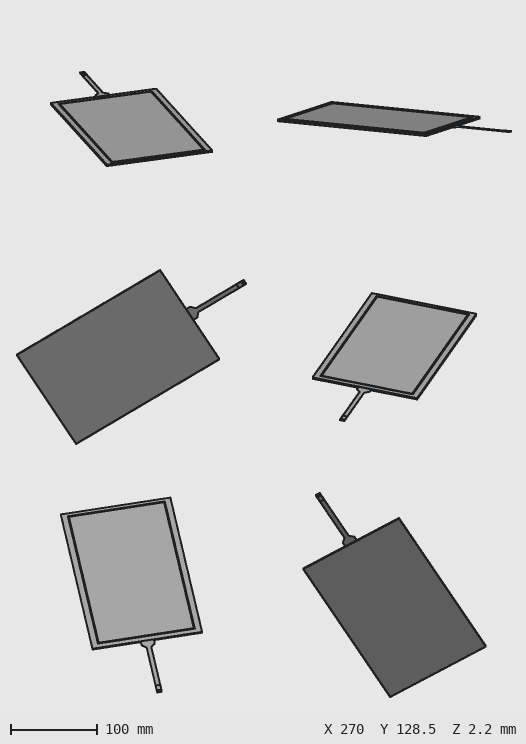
import cadquery as cq

total_length = 270.0
plate_length = 195.0
plate_width = 128.5
plate_thickness = 2.2
plate_left = total_length - plate_length

groove_margin_left = 5.7
groove_margin_right = 4.0
groove_margin_y = 7.3
groove_width = 1.3
groove_depth = 0.13

cable_width = 5.7
cable_thickness = 0.3
cable_bottom = 1.48
cable_overlap = 1.3
cable_center_y = plate_width / 2
root_width = 15.7
root_length = 5.7
flare_length = 4.3

stiffener_length = 10.0
stiffener_thickness = 0.3

contact_count = 5
contact_length = 3.5
contact_width = 0.5
contact_pitch = 1.0
contact_thickness = 0.1


def make_plate():
    return cq.Workplane("XY").box(plate_length, plate_width, plate_thickness, centered=False).translate(
        (plate_left, 0, 0)
    )


def make_groove():
    outer_length = plate_length - groove_margin_left - groove_margin_right
    outer_width = plate_width - 2 * groove_margin_y
    inner_length = outer_length - 2 * groove_width
    inner_width = outer_width - 2 * groove_width
    center_x = plate_left + groove_margin_left + outer_length / 2
    return (
        cq.Workplane("XY", origin=(center_x, plate_width / 2, plate_thickness - groove_depth))
        .rect(outer_length, outer_width)
        .rect(inner_length, inner_width)
        .extrude(groove_depth)
    )


def make_cable():
    root_start = plate_left - root_length
    flare_start = root_start - flare_length
    upper_edge = [
        (0, cable_width / 2),
        (flare_start, cable_width / 2),
        (root_start, root_width / 2),
        (plate_left + cable_overlap, root_width / 2),
    ]
    lower_edge = [(x, -y) for x, y in reversed(upper_edge)]
    return (
        cq.Workplane("XY", origin=(0, cable_center_y, cable_bottom))
        .polyline(upper_edge + lower_edge)
        .close()
        .extrude(cable_thickness)
    )


def make_stiffener():
    return cq.Workplane("XY").box(
        stiffener_length, cable_width, stiffener_thickness, centered=False
    ).translate((0, cable_center_y - cable_width / 2, cable_bottom + cable_thickness))


def make_contacts():
    return (
        cq.Workplane("XY", origin=(contact_length / 2, cable_center_y, cable_bottom - contact_thickness))
        .rarray(2.7, contact_pitch, 1, contact_count)
        .rect(contact_length, contact_width)
        .extrude(contact_thickness)
    )


plate = make_plate().cut(make_groove())
tail = make_cable().union(make_stiffener()).union(make_contacts())
result = plate.union(tail)